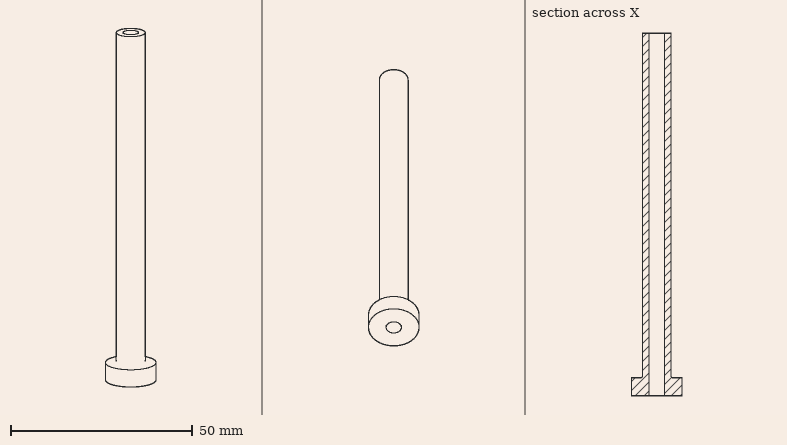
import cadquery as cq

total_length = 100.0
head_diameter = 14.0
head_height = 5.0
shank_diameter = 8.0
bore_diameter = 4.2
root_fillet_radius = 0.5

shank_radius = shank_diameter / 2
bore_radius = bore_diameter / 2


def make_head():
    """Round head standing on the XY plane."""
    return cq.Workplane("XY").circle(head_diameter / 2).extrude(head_height)


def make_shank():
    """Straight shank over the full length, overlapping the head."""
    return cq.Workplane("XY").circle(shank_radius).extrude(total_length)


def fillet_shank_root(body):
    """Round the inside corner where the shank meets the head."""
    root_edge = cq.selectors.RadiusNthSelector(0)
    return body.faces("<Z[1]").edges(root_edge).fillet(root_fillet_radius)


def make_bore():
    """Through bore along the axis."""
    return cq.Workplane("XY").circle(bore_radius).extrude(total_length)


sleeve = fillet_shank_root(make_head().union(make_shank()))
result = sleeve.cut(make_bore())